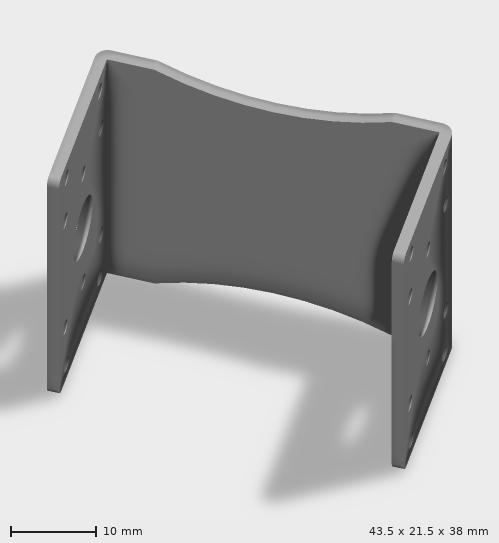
import cadquery as cq

width = 43.5
depth = 21.5
height = 38.0
thickness = 1.5

bend_radius = 1.55
corner_radius = 1.0

notch_half_width = 14.5
notch_depth = 2.9

pattern_setback = 11.5
large_hole_diameter = 8.0
small_hole_diameter = 2.0
corner_hole_y = 7.0
corner_hole_z = 16.6
inner_hole_y = 7.5
inner_hole_z = 9.5
middle_hole_z = 9.6

back_y = depth / 2
pattern_y = back_y - pattern_setback


def make_channel():
    """Back plate with two side plates, rounded at the bends and free corners."""
    inside = cq.Workplane("XY").box(width - 2 * thickness, depth, height)
    channel = (
        cq.Workplane("XY")
        .box(width, depth, height)
        .edges("|Z and >Y")
        .fillet(bend_radius)
        .cut(inside.translate((0, -thickness, 0)))
    )
    return channel.faces("<Y").edges("|X").fillet(corner_radius)


def make_notch(side):
    """Arc-shaped cutter for the top (side = 1) or bottom (side = -1) edge."""
    edge_z = side * height / 2
    return (
        cq.Workplane("XZ", origin=(0, back_y, 0))
        .moveTo(-notch_half_width, edge_z)
        .threePointArc((0, edge_z - side * notch_depth), (notch_half_width, edge_z))
        .close()
        .extrude(thickness)
    )


def cut_notches(body):
    """Cut both notches and round the corners where they meet the plate edges."""
    for side in (1, -1):
        body = body.cut(make_notch(side))
    corner_edges = cq.selectors.BoxSelector(
        (-notch_half_width - thickness, back_y - 2 * thickness, -height),
        (notch_half_width + thickness, back_y + thickness, height),
    )
    return body.edges("|Y").edges(corner_edges).fillet(corner_radius)


def make_hole_cutters():
    """Cylinders along X that pass through both side plates."""
    small_holes = [(0, side * middle_hole_z) for side in (1, -1)]
    for y, z in ((corner_hole_y, corner_hole_z), (inner_hole_y, inner_hole_z)):
        small_holes += [(i * y, j * z) for i in (1, -1) for j in (1, -1)]
    plane = cq.Workplane("YZ", origin=(-width / 2, pattern_y, 0))
    large = plane.circle(large_hole_diameter / 2).extrude(width)
    small = plane.pushPoints(small_holes).circle(small_hole_diameter / 2).extrude(width)
    return large, small


result = cut_notches(make_channel())
for cutter in make_hole_cutters():
    result = result.cut(cutter)